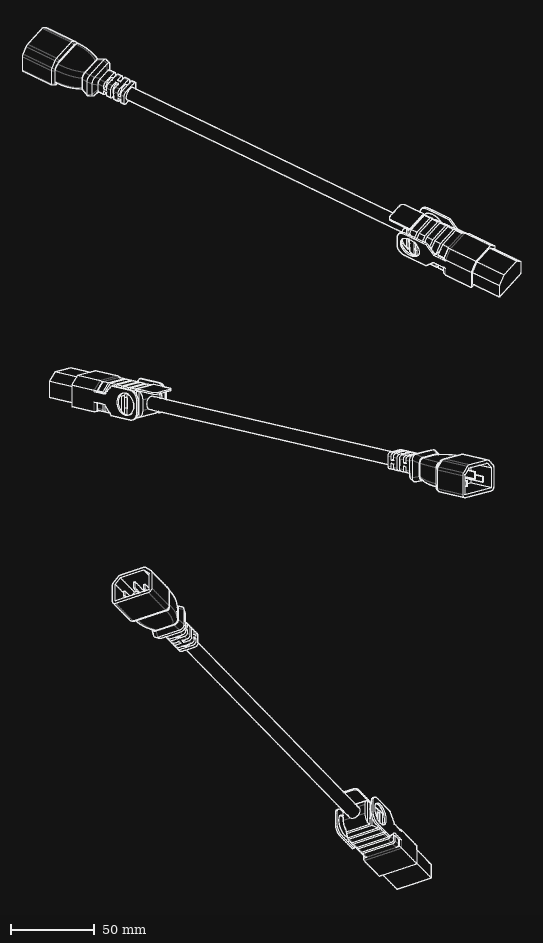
import cadquery as cq
import math

total_length = 340.5
cable_radius = 4.0

plug_z = 0.17
shroud_width = 27.3
shroud_height = 19.8
shroud_chamfer = 4.8
shroud_fillet = 2.5
shroud_end_x = 20.8
shroud_wall = 2.0
cavity_depth = 17.0

pin_length = 14.3
pin_root = 0.7
pin_width = 1.0
pin_height = 3.5
earth_pin_height = 4.5
pin_spacing = 7.0
pin_z = -2.5
earth_pin_z = 1.5

boot_start_x = 22.8
boot_end_x = 40.0
boot_width = 25.2
boot_height = 15.5
boot_end_width = 17.0
boot_end_height = 13.3
boot_fillet = 2.7
boot_end_steepness = 2.5

collar_peak_x = 44.3
collar_shoulder_x = 47.5
collar_end_x = 49.5
collar_start_width = 18.5
collar_start_height = 14.3
collar_width = 21.0
collar_height = 17.0
shoulder_width = 19.5
shoulder_height = 15.5
collar_fillet = 3.0

relief_end_x = 68.0
relief_width = 13.0
relief_height = 10.2
relief_fillet = 2.0
relief_groove_count = 3
relief_groove_width = 2.0
relief_groove_pitch = 5.0
first_relief_groove_x = 54.5
relief_web_thickness = 2.0

nose_x = 268.0
grip_end_x = 301.0
housing_start_x = 303.0
spigot_start_x = 321.3
housing_width = 26.0
housing_height = 18.5
housing_lip = 0.5
housing_chamfer = 5.0
spigot_width = 23.5
spigot_top_z = 8.0
spigot_bottom_z = -7.0
spigot_chamfer = 4.95

grip_chamfer = 4.8
grip_fillet = 1.7
grip_groove_count = 5
grip_groove_width = 1.55
grip_groove_pitch = 5.62
first_groove_x = 273.5
web_half_height = 3.25

nose_half_width = 7.5
nose_core_half_width = 6.0
nose_taper_start_x = 271.2
nose_taper_end_x = 281.7
nose_corner_radius = 5.5

plate_thickness = 1.2
plate_inner_y = housing_width / 2 - plate_thickness
plate_slope_start_x = 289.0
plate_slope_end_x = 294.5
plate_hole_x = 277.3
plate_hole_radius = 6.8

tab_start_x = 258.0
tab_thickness = 1.0
tab_corner_radius = 2.5


def section_plane(x, z=0.0):
    """Plane across the cable at x: local x runs along Y and local y along Z."""
    return cq.Workplane("YZ", origin=(x, 0, z))


def roof_section(x, width, bottom_z, top_z, chamfer):
    """Rectangle across the cable with its two upper corners cut at 45 degrees."""
    half = width / 2
    return section_plane(x).polyline([
        (-half, bottom_z),
        (half, bottom_z),
        (half, top_z - chamfer),
        (half - chamfer, top_z),
        (chamfer - half, top_z),
        (-half, top_z - chamfer),
    ]).close()


def rounded_rectangle(width, height, radius):
    return cq.Sketch().rect(width, height).vertices().fillet(radius)


def shroud_prism(start_x, length, inset, fillet):
    """Prism of the shroud's outline, moved inwards by the inset."""
    chamfer = shroud_chamfer - inset * (2 - math.sqrt(2))
    prism = roof_section(
        start_x,
        shroud_width - 2 * inset,
        plug_z - shroud_height / 2 + inset,
        plug_z + shroud_height / 2 - inset,
        chamfer,
    ).extrude(length)
    return prism.edges("|X").fillet(fillet) if fillet else prism


def shroud():
    end_bevel = boot_start_x - shroud_end_x
    body = shroud_prism(0, boot_start_x, 0, shroud_fillet)
    body = body.faces(">X").chamfer(end_bevel, end_bevel / 2)
    return body.cut(shroud_prism(0, cavity_depth, shroud_wall, 0))


def pin(y, z, height):
    """Flat contact that stands on the cavity floor, its root held in the plug."""
    return (
        section_plane(cavity_depth - pin_length, plug_z)
        .center(y, z)
        .rect(pin_width, height)
        .extrude(pin_length + pin_root)
    )


def boot_outline(plane, half_size, end_half_size, depth):
    """Prism of a boot outline that leaves the shroud straight and curves in towards the collar."""
    run = boot_end_x - boot_start_x
    drop = half_size - end_half_size
    return (
        cq.Workplane(plane, origin=(0, 0, plug_z))
        .workplane(offset=-depth / 2)
        .moveTo(boot_start_x, -half_size)
        .lineTo(boot_start_x, half_size)
        .spline(
            [(boot_end_x, end_half_size)],
            tangents=[(1, 0), (run, -boot_end_steepness * drop)],
            includeCurrent=True,
        )
        .lineTo(boot_end_x, -end_half_size)
        .spline(
            [(boot_start_x, -half_size)],
            tangents=[(-run, -boot_end_steepness * drop), (-1, 0)],
            includeCurrent=True,
        )
        .close()
        .extrude(depth)
    )


def boot():
    plan = boot_outline("XY", boot_width / 2, boot_end_width / 2, boot_height)
    side = boot_outline("XZ", boot_height / 2, boot_end_height / 2, boot_width)
    return plan.intersect(side).edges("not #X").fillet(boot_fillet)


def rounded_loft(start_x, start_size, end_x, end_size):
    """Straight loft between two rounded rectangles, each given as (width, height)."""
    return (
        section_plane(start_x, plug_z)
        .placeSketch(
            rounded_rectangle(*start_size, collar_fillet),
            rounded_rectangle(*end_size, collar_fillet).moved(cq.Location(cq.Vector(0, 0, end_x - start_x))),
        )
        .loft(ruled=True)
    )


def collar():
    start = (collar_start_width, collar_start_height)
    peak = (collar_width, collar_height)
    shoulder = (shoulder_width, shoulder_height)
    relief = (relief_width, relief_height)
    return (
        rounded_loft(boot_end_x, start, collar_peak_x, peak)
        .union(rounded_loft(collar_peak_x, peak, collar_shoulder_x, shoulder))
        .union(rounded_loft(collar_shoulder_x, shoulder, collar_end_x, relief))
    )


def relief_groove(x, web_width, web_height):
    """Slot across the whole sleeve that leaves a flat web."""
    slot = section_plane(x, plug_z).rect(2 * relief_width, 2 * relief_height).rect(web_width, web_height)
    return slot.extrude(relief_groove_width / 2, both=True)


def strain_relief():
    """Rounded sleeve whose grooves leave a level and an upright web by turns."""
    body = (
        section_plane(collar_end_x, plug_z)
        .placeSketch(rounded_rectangle(relief_width, relief_height, relief_fillet))
        .extrude(relief_end_x - collar_end_x)
    )
    for i in range(relief_groove_count):
        x = first_relief_groove_x + i * relief_groove_pitch
        if i % 2 == 0:
            groove = relief_groove(x, relief_width, relief_web_thickness)
        else:
            groove = relief_groove(x, relief_web_thickness, relief_height)
        body = body.cut(groove)
    return body


def make_plug():
    plug = shroud().union(boot()).union(collar()).union(strain_relief())
    plug = plug.union(pin(0, earth_pin_z, earth_pin_height))
    for side in (-1, 1):
        plug = plug.union(pin(side * pin_spacing, pin_z, pin_height))
    return plug.cut(make_cable())


def make_cable():
    """Round cable that runs through the strain relief and through the grip."""
    return section_plane(collar_end_x).circle(cable_radius).extrude(housing_start_x - collar_end_x)


def grip_plan(start_half_width, half_height):
    """Prism of an outline in plan that widens from the nose to the side plates."""
    return (
        cq.Workplane("XY")
        .moveTo(nose_x, 0)
        .lineTo(nose_x, start_half_width)
        .lineTo(nose_taper_start_x, start_half_width)
        .lineTo(nose_taper_end_x, plate_inner_y)
        .lineTo(housing_start_x, plate_inner_y)
        .lineTo(housing_start_x, 0)
        .mirrorX()
        .extrude(half_height, both=True)
    )


def nose_and_grip():
    """Bar with chamfered upper and rounded lower edges, tapered in plan towards the cable."""
    length = housing_start_x - nose_x
    width = 2 * plate_inner_y
    height = housing_height - 2 * housing_lip
    bar = (
        cq.Workplane("XY")
        .box(length, width, height, centered=(False, True, True))
        .translate((nose_x, 0, 0))
    )
    bar = bar.edges("|X and >Z").chamfer(grip_chamfer)
    bar = bar.edges("|X and <Z").fillet(grip_fillet)
    nose_rounding = (
        cq.Workplane("XY")
        .box(length, width, height, centered=(False, True, True))
        .edges("|Y and <X")
        .fillet(nose_corner_radius)
        .translate((nose_x, 0, 0))
    )
    return bar.intersect(nose_rounding).intersect(grip_plan(nose_half_width, housing_height))


def grip_grooves():
    """Grooves around the grip that leave its core, level with the web."""
    places = [(first_groove_x + i * grip_groove_pitch, 0) for i in range(grip_groove_count)]
    slots = (
        cq.Workplane("XZ")
        .pushPoints(places)
        .rect(grip_groove_width, housing_height)
        .extrude(housing_width, both=True)
    )
    return slots.cut(grip_plan(nose_core_half_width, web_half_height))


def side_plate(side):
    """Thin wall beside the grip, with a round window, narrowing to the web."""
    half_height = housing_height / 2
    plate = (
        cq.Workplane("XZ")
        .moveTo(nose_x, 0)
        .lineTo(nose_x, half_height)
        .lineTo(plate_slope_start_x, half_height)
        .lineTo(plate_slope_end_x, web_half_height)
        .lineTo(housing_start_x, web_half_height)
        .lineTo(housing_start_x, 0)
        .mirrorX()
        .extrude(-plate_thickness)
        .edges("|Y and <X")
        .fillet(nose_corner_radius)
    )
    window = cq.Workplane("XZ").center(plate_hole_x, 0).circle(plate_hole_radius).extrude(-plate_thickness)
    plate = plate.cut(window).translate((0, plate_inner_y, 0))
    return plate if side > 0 else plate.mirror("XZ")


def tab():
    """Flat tongue above the cable, level with the tops of the side plates."""
    tongue = cq.Workplane("XY").box(
        nose_x + nose_corner_radius - tab_start_x,
        2 * nose_half_width,
        tab_thickness,
        centered=(False, True, False),
    )
    tongue = tongue.edges("|Z and <X").fillet(tab_corner_radius)
    return tongue.translate((tab_start_x, 0, housing_height / 2 - tab_thickness))


def housing():
    half_height = housing_height / 2
    block = roof_section(grip_end_x, housing_width, -half_height, half_height, housing_chamfer)
    block = block.extrude(spigot_start_x - grip_end_x)
    return block.faces("<X").chamfer(housing_start_x - grip_end_x, housing_lip)


def spigot():
    block = roof_section(spigot_start_x, spigot_width, spigot_bottom_z, spigot_top_z, spigot_chamfer)
    return block.extrude(total_length - spigot_start_x)


def make_connector():
    connector = nose_and_grip().cut(grip_grooves()).union(tab())
    for side in (-1, 1):
        connector = connector.union(side_plate(side))
    return connector.union(housing()).union(spigot()).cut(make_cable())


plug = make_plug()
cable = make_cable()
connector = make_connector()

result = cq.Compound.makeCompound([plug.val(), cable.val(), connector.val()])